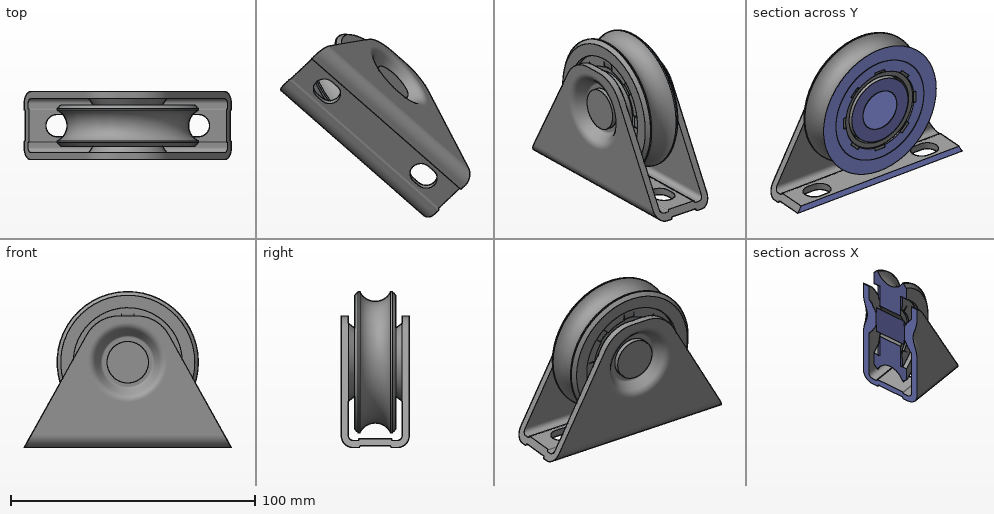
import cadquery as cq
import math

BASE_LENGTH = 85.0
BRACKET_WIDTH = 28.0
BRACKET_HEIGHT = 54.0
SHEET = 3.0
BEND_RADIUS = 2.0
TOP_HALF_LENGTH = 12.5
CHEEK_CORNER_RADIUS = 15.0
HALF_WIDTH = BRACKET_WIDTH / 2
INNER_HALF_WIDTH = HALF_WIDTH - SHEET

STRIP_RISE = 0.8
STRIP_HALF_WIDTH = 6.8
GROOVE_HALF_WIDTH = 6.4
STRIP_EDGE_RADIUS = STRIP_RISE / 2

SLOT_WIDTH = 9.0
SLOT_LENGTH = 12.0
SLOT_OUTER_X = 33.5

AXLE_HEIGHT = 35.0
CUP_MOUTH_RADIUS = 14.4
CUP_ANGLE = 34.0
CUP_MOUTH_BEND = 3.5
CUP_INNER_BEND = CUP_MOUTH_BEND - SHEET
CUP_FLOOR_BEND = 1.0
CUP_FLOOR_Y = 8.5
CUP_END_Y = 7.2
CUP_TAPER = math.tan(math.radians(CUP_ANGLE))
CUP_FLOOR_RADIUS = CUP_MOUTH_RADIUS - (HALF_WIDTH - CUP_FLOOR_Y) * CUP_TAPER
CUP_ROOT_RADIUS = CUP_MOUTH_RADIUS + SHEET * math.tan(math.radians(45 - CUP_ANGLE / 2))
CUP_END_RADIUS = CUP_ROOT_RADIUS - (INNER_HALF_WIDTH - CUP_END_Y) * CUP_TAPER

PIN_RADIUS = 8.5
PIN_HALF_LENGTH = 10.6
RING_RADIUS = 14.45

WHEEL_RADIUS = 29.0
WHEEL_HALF_WIDTH = 8.5
WHEEL_CHAMFER = 1.5
ROPE_GROOVE_RADIUS = 7.0
ROPE_GROOVE_FLOOR = 25.0
WHEEL_BORE_RADIUS = 15.2

COVER_RADIUS = 22.35
COVER_BORE_RADIUS = 17.3
COVER_FACE_Y = 6.55
COVER_SEAT_Y = 5.5
DENT_COUNT = 8
DENT_WIDTH = 4.9
DENT_OUTER_RADIUS = 19.7
DENT_ANGLE = 11.3


def revolve_about_axle(outline):
    """Turn a closed outline of (radius, y) points about the axle line."""
    flat = cq.Workplane("XY").polyline(outline).close()
    return flat.revolve(360, (0, 0, 0), (0, 1, 0)).translate((0, 0, AXLE_HEIGHT))


def axle_cylinder(radius, y_start, y_end):
    return revolve_about_axle([(0, y_start), (radius, y_start), (radius, y_end), (0, y_end)])


def round_circles(body, circle_radius, fillet_radius):
    """Fillet every circular edge that has the given radius."""
    edges = body.edges("%CIRCLE").filter(lambda e: abs(e.radius() - circle_radius) < 0.001)
    return edges.fillet(fillet_radius)


def make_channel():
    """U-shaped channel along X with bent corners and the raised strip in its base."""
    def box(width, bottom):
        return (
            cq.Workplane("XY", origin=(0, 0, bottom))
            .rect(BASE_LENGTH, width)
            .extrude(BRACKET_HEIGHT - bottom)
        )

    outside = box(BRACKET_WIDTH, 0).edges("|X and <Z").fillet(BEND_RADIUS + SHEET)
    inside = box(2 * INNER_HALF_WIDTH, SHEET).edges("|X and <Z").fillet(BEND_RADIUS)

    def strip(half_width, bottom):
        """Low bar along X whose long edges are S-curves of two quarter circles."""
        foot = half_width + STRIP_EDGE_RADIUS
        crest = half_width - STRIP_EDGE_RADIUS
        return (
            cq.Workplane("YZ", origin=(-BASE_LENGTH / 2, 0, bottom))
            .moveTo(-foot, 0)
            .radiusArc((-half_width, STRIP_EDGE_RADIUS), -STRIP_EDGE_RADIUS)
            .radiusArc((-crest, STRIP_RISE), STRIP_EDGE_RADIUS)
            .lineTo(crest, STRIP_RISE)
            .radiusArc((half_width, STRIP_EDGE_RADIUS), STRIP_EDGE_RADIUS)
            .radiusArc((foot, 0), -STRIP_EDGE_RADIUS)
            .close()
            .extrude(BASE_LENGTH)
        )

    channel = outside.cut(inside)
    return channel.union(strip(STRIP_HALF_WIDTH, SHEET)).cut(strip(GROOVE_HALF_WIDTH, 0))


def make_cheek_outline():
    """Prism across the bracket: a trapezoid with rounded upper corners."""
    return (
        cq.Workplane("XZ", origin=(0, HALF_WIDTH, 0))
        .polyline([
            (-BASE_LENGTH / 2, 0),
            (BASE_LENGTH / 2, 0),
            (TOP_HALF_LENGTH, BRACKET_HEIGHT),
            (-TOP_HALF_LENGTH, BRACKET_HEIGHT),
        ])
        .close()
        .extrude(BRACKET_WIDTH)
        .edges("|Y and >Z")
        .fillet(CHEEK_CORNER_RADIUS)
    )


def make_bracket():
    bracket = make_channel().intersect(make_cheek_outline())

    for side in (-1, 1):
        bracket = bracket.union(revolve_about_axle([
            (0, side * INNER_HALF_WIDTH),
            (CUP_ROOT_RADIUS, side * INNER_HALF_WIDTH),
            (CUP_END_RADIUS, side * CUP_END_Y),
            (0, side * CUP_END_Y),
        ]))
        bracket = bracket.cut(revolve_about_axle([
            (0, side * HALF_WIDTH),
            (CUP_MOUTH_RADIUS, side * HALF_WIDTH),
            (CUP_FLOOR_RADIUS, side * CUP_FLOOR_Y),
            (0, side * CUP_FLOOR_Y),
        ]))
    bracket = round_circles(bracket, CUP_MOUTH_RADIUS, CUP_MOUTH_BEND)
    bracket = round_circles(bracket, CUP_ROOT_RADIUS, CUP_INNER_BEND)
    bracket = round_circles(bracket, CUP_FLOOR_RADIUS, CUP_FLOOR_BEND)
    bracket = bracket.cut(axle_cylinder(PIN_RADIUS, -HALF_WIDTH, HALF_WIDTH))

    slot_x = SLOT_OUTER_X - SLOT_LENGTH / 2
    slots = (
        cq.Workplane("XY")
        .pushPoints([(-slot_x, 0), (slot_x, 0)])
        .slot2D(SLOT_LENGTH, SLOT_WIDTH)
        .extrude(SHEET + STRIP_RISE)
    )
    return bracket.cut(slots)


def make_wheel():
    blank = axle_cylinder(WHEEL_RADIUS, -WHEEL_HALF_WIDTH, WHEEL_HALF_WIDTH)
    blank = blank.edges("%CIRCLE").chamfer(WHEEL_CHAMFER)
    groove_centre = ROPE_GROOVE_FLOOR + ROPE_GROOVE_RADIUS
    rope_groove = (
        cq.Workplane("XY")
        .moveTo(groove_centre, 0)
        .circle(ROPE_GROOVE_RADIUS)
        .revolve(360, (0, 0, 0), (0, 1, 0))
        .translate((0, 0, AXLE_HEIGHT))
    )
    wheel = blank.cut(rope_groove)
    wheel = wheel.cut(axle_cylinder(WHEEL_BORE_RADIUS, -WHEEL_HALF_WIDTH, WHEEL_HALF_WIDTH))
    for side in (-1, 1):
        wheel = wheel.cut(axle_cylinder(COVER_RADIUS, side * COVER_SEAT_Y, side * WHEEL_HALF_WIDTH))
    return wheel


def make_inner_ring():
    """Plain ring on the pin, between the two cup floors."""
    ring = axle_cylinder(RING_RADIUS, -CUP_END_Y, CUP_END_Y)
    return ring.cut(axle_cylinder(PIN_RADIUS, -CUP_END_Y, CUP_END_Y))


def make_pin():
    return axle_cylinder(PIN_RADIUS, -PIN_HALF_LENGTH, PIN_HALF_LENGTH)


def make_cover(side):
    """Annular cover on one side (-1 or 1) with sloping dents that open into its bore."""
    cover = axle_cylinder(COVER_RADIUS, side * COVER_SEAT_Y, side * COVER_FACE_Y)
    cover = cover.cut(axle_cylinder(COVER_BORE_RADIUS, side * COVER_SEAT_Y, side * COVER_FACE_Y))

    dent_depth = DENT_OUTER_RADIUS * math.tan(math.radians(DENT_ANGLE))
    dent = (
        cq.Workplane("YZ", origin=(-DENT_WIDTH / 2, 0, AXLE_HEIGHT))
        .polyline([
            (side * COVER_FACE_Y, DENT_OUTER_RADIUS),
            (side * COVER_FACE_Y, 0),
            (side * (COVER_FACE_Y - dent_depth), 0),
        ])
        .close()
        .extrude(DENT_WIDTH)
    )
    for number in range(DENT_COUNT):
        turn = 360 / DENT_COUNT * number
        cover = cover.cut(dent.rotate((0, 0, AXLE_HEIGHT), (0, 1, AXLE_HEIGHT), turn))
    return cover


bracket = make_bracket()
wheel = make_wheel()
inner_ring = make_inner_ring()
pin = make_pin()
covers = [make_cover(side) for side in (-1, 1)]

result = cq.Compound.makeCompound([
    bracket.val(),
    wheel.val(),
    inner_ring.val(),
    pin.val(),
    *[cover.val() for cover in covers],
])